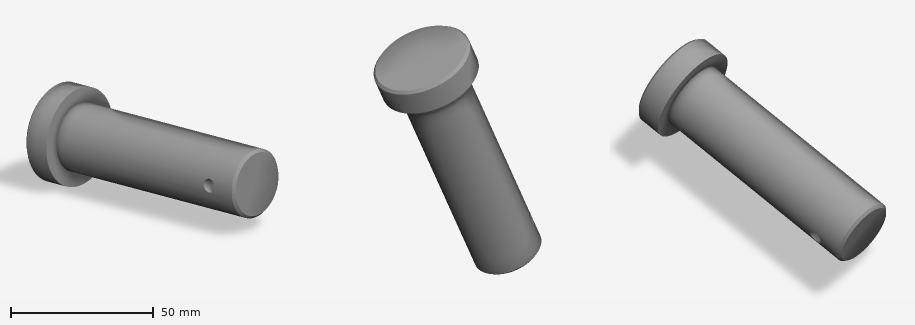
import cadquery as cq

total_length = 92.0
head_diameter = 36.0
head_thickness = 10.0
shank_diameter = 25.0
edge_chamfer = 1.0

hole_front_diameter = 5.1
hole_back_diameter = 4.2
hole_to_tip = 11.5


def turned_pin():
    """Headed pin with the head face and the shank tip chamfered."""
    head = cq.Workplane("YZ").circle(head_diameter / 2).extrude(head_thickness)
    head = head.faces("<X").chamfer(edge_chamfer)
    shank = cq.Workplane("YZ").circle(shank_diameter / 2).extrude(total_length)
    shank = shank.faces(">X").chamfer(edge_chamfer)
    return head.union(shank)


def cross_hole():
    """Conical cutter that crosses the full shank diameter."""
    cone = cq.Solid.makeCone(
        hole_front_diameter / 2,
        hole_back_diameter / 2,
        shank_diameter,
        pnt=cq.Vector(total_length - hole_to_tip, -shank_diameter / 2, 0),
        dir=cq.Vector(0, 1, 0),
    )
    return cq.Workplane(cone)


result = turned_pin().cut(cross_hole())